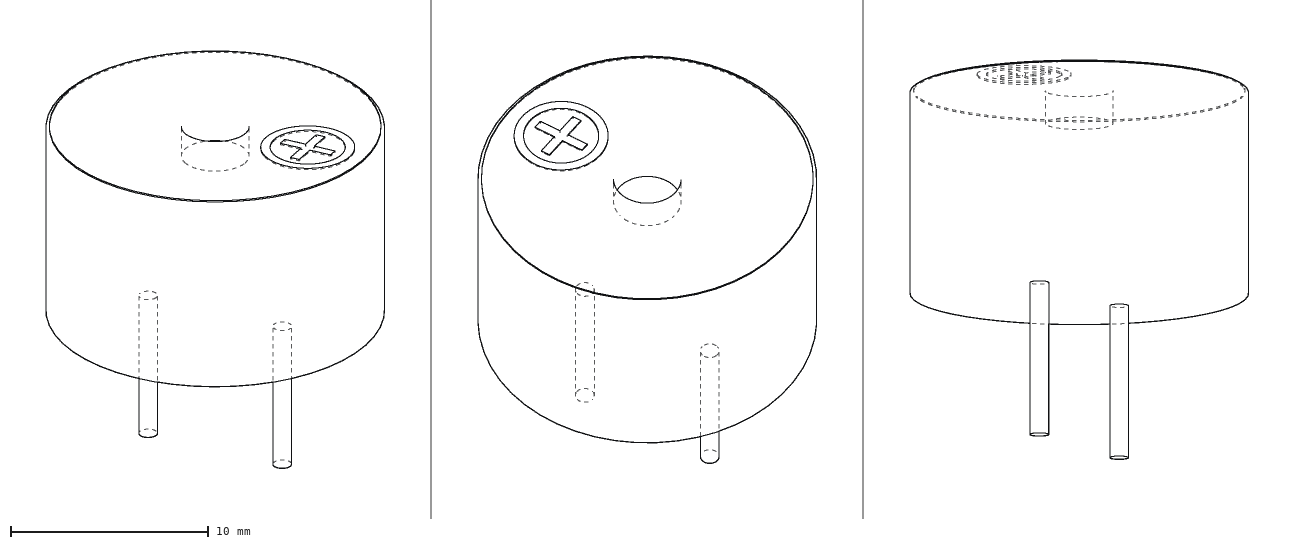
import cadquery as cq

body_diameter = 17.14
total_height = 18.29
pin_length = 7.81
body_height = total_height - pin_length

disc_diameter = 16.77
disc_height = 0.07
shell_height = body_height - disc_height
rim_radius = 0.07

hole_diameter = 3.42
hole_depth = 1.7
hole_rim_radius = 0.07

pin_diameter = 0.95
pin_spacing = 7.6

mark_x = 5.25
mark_depth = 0.1
mark_floor_fillet = 0.04
ring_outer_diameter = 4.75
ring_inner_diameter = 3.8
plus_length = 2.85
plus_width = 0.5


def make_body():
    """Cylinder standing on Z = 0, rounded at both rims, with a slightly smaller disc on top."""
    shell = cq.Workplane("XY").circle(body_diameter / 2).extrude(shell_height)
    shell = shell.faces("<Z or >Z").edges().fillet(rim_radius)
    disc = cq.Workplane("XY", origin=(0, 0, shell_height)).circle(disc_diameter / 2).extrude(disc_height)
    return shell.union(disc)


def cut_sound_hole(body):
    """Blind central hole with a rounded mouth."""
    hole_floor = cq.Workplane("XY", origin=(0, 0, body_height - hole_depth))
    drilled = body.cut(hole_floor.circle(hole_diameter / 2).extrude(hole_depth))
    hole_rim = drilled.faces(">Z").edges(cq.selectors.RadiusNthSelector(0))
    return hole_rim.fillet(hole_rim_radius)


def make_polarity_mark():
    """Cutter for the ring groove and the plus sign inside it, filleted around their floors."""
    floor = cq.Workplane("XY", origin=(mark_x, 0, body_height - mark_depth))
    ring = floor.circle(ring_outer_diameter / 2).circle(ring_inner_diameter / 2).extrude(mark_depth)
    bar_along_x = floor.rect(plus_length, plus_width).extrude(mark_depth)
    bar_along_y = floor.rect(plus_width, plus_length).extrude(mark_depth)
    plus_sign = bar_along_x.union(bar_along_y)
    return ring.union(plus_sign).faces("<Z").edges().fillet(mark_floor_fillet)


def make_pins():
    """Two round pins hanging from the underside along X."""
    pin_centres = [(-pin_spacing / 2, 0), (pin_spacing / 2, 0)]
    return cq.Workplane("XY").pushPoints(pin_centres).circle(pin_diameter / 2).extrude(-pin_length)


result = cut_sound_hole(make_body()).cut(make_polarity_mark()).union(make_pins())